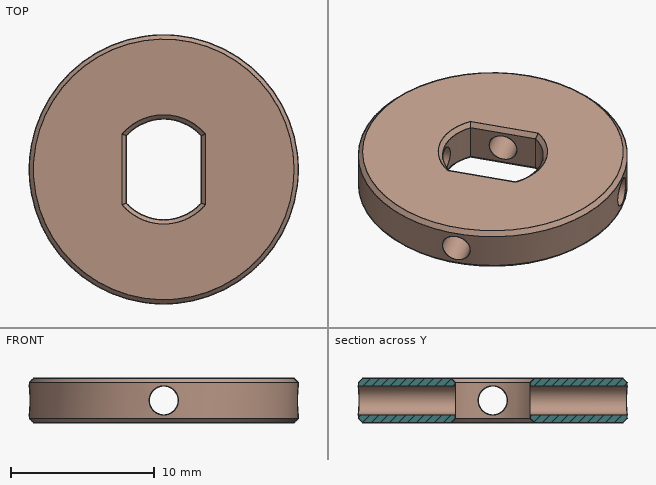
import cadquery as cq

disc_diameter = 18.75
thickness = 3.11
edge_chamfer = 0.3

bore_diameter = 7.01
bore_width = 5.21

radial_hole_diameter = 2.0


def make_bore():
    round_hole = cq.Workplane("XY").circle(bore_diameter / 2).extrude(thickness)
    space_between_flats = cq.Workplane("XY").rect(bore_width, bore_diameter).extrude(thickness)
    return round_hole.intersect(space_between_flats)


def make_disc():
    blank = cq.Workplane("XY").circle(disc_diameter / 2).extrude(thickness)
    bored = blank.cut(make_bore())
    return bored.faces("<Z or >Z").edges().chamfer(edge_chamfer)


def make_radial_hole(plane_name):
    return (
        cq.Workplane(plane_name)
        .center(0, thickness / 2)
        .circle(radial_hole_diameter / 2)
        .extrude(disc_diameter / 2, both=True)
    )


result = make_disc()
for plane_name in ("XZ", "YZ"):
    result = result.cut(make_radial_hole(plane_name))